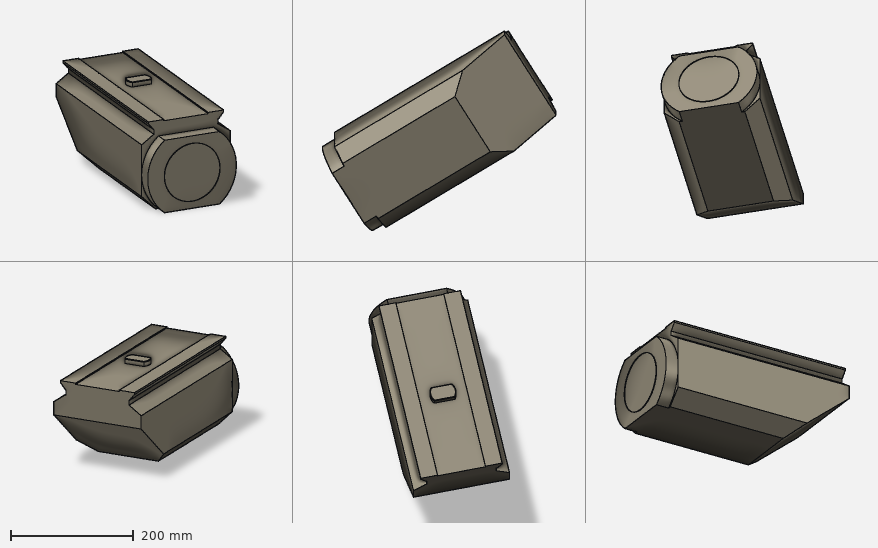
import cadquery as cq

total_length = 350.0
width = 160.0
total_height = 159.0

cap_thickness = 23.0
cap_height = 125.5
cap_face_diameter = 100.0
cap_face_rise = 1.0
body_length = total_length - cap_face_rise - cap_thickness

bottom_width = 109.5
bottom_chamfer_height = 25.2
shoulder_height = 114.8
neck_width = 116.0
neck_bottom = 130.0
neck_top = 137.5
rail_width = 135.8
rail_lip = 3.0
rail_top = 152.5
recess_width = 79.8
recess_depth = 2.0

nose_height = 92.0
slope_length = 110.5

key_diameter = 42.7
key_width = 25.2
key_center_x = 145.0
key_chamfer = 1.0


def make_body():
    """Extrude the dovetail-railed section along X and cut the sloped nose."""
    recess_floor = rail_top - recess_depth
    right_side = [
        (bottom_width / 2, 0),
        (width / 2, bottom_chamfer_height),
        (width / 2, shoulder_height),
        (neck_width / 2, neck_bottom),
        (neck_width / 2, neck_top),
        (rail_width / 2, rail_top - rail_lip),
        (rail_width / 2, rail_top),
        (recess_width / 2, rail_top),
        (recess_width / 2, recess_floor),
    ]
    left_side = [(-y, z) for y, z in reversed(right_side)]
    body = cq.Workplane("YZ").polyline(right_side + left_side).close().extrude(body_length)
    nose_cut = (
        cq.Workplane("XZ")
        .polyline([(0, 0), (slope_length, 0), (0, nose_height)])
        .close()
        .extrude(width, both=True)
    )
    return body.cut(nose_cut)


def make_cap():
    """Round cap with flats at top and bottom, and a thin disc on its outer face."""
    center_z = cap_height / 2
    cap_plane = cq.Workplane("YZ", origin=(body_length, 0, center_z))
    round_cap = cap_plane.circle(width / 2).extrude(cap_thickness)
    flats = cap_plane.rect(width, cap_height).extrude(cap_thickness)
    face = cap_plane.circle(cap_face_diameter / 2).extrude(cap_thickness + cap_face_rise)
    return round_cap.intersect(flats).union(face)


def make_key():
    """Disc with two flat sides and a chamfered top, standing on the recess floor."""
    floor = rail_top - recess_depth
    key_height = total_height - floor
    key_plane = cq.Workplane("XY", origin=(key_center_x, 0, floor))
    disc = key_plane.circle(key_diameter / 2).extrude(key_height)
    flats = key_plane.rect(key_width, key_diameter).extrude(key_height)
    return disc.intersect(flats).faces(">Z").chamfer(key_chamfer)


result = make_body().union(make_cap()).union(make_key())